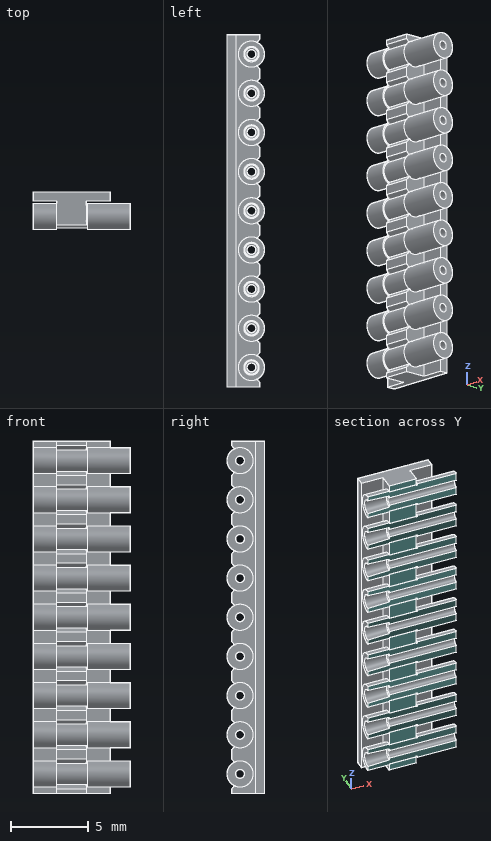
import cadquery as cq
import math

pin_count = 9
pitch = 2.54
row_height = pin_count * pitch

pin_length = 6.3
pin_radius = 0.85
pin_axis_y = -pin_radius
waist_radius = 0.75
waist_start = 1.52
waist_length = 2.0
bore_radius = 0.28
socket_mouth_radius = 0.5
socket_floor_radius = 0.43
socket_depth = 1.52
floor_cone_angle = 150

overall_depth = 2.44
plate_width = 5.0
plate_thickness = 0.6
rib_start = waist_start
rib_width = 1.93
rib_depth = 2.14
mouth_half_width = 0.965
throat_half_width = 0.69

back_y = overall_depth - 2 * pin_radius
rib_front_y = back_y - rib_depth
throat_y = pin_axis_y - math.sqrt(waist_radius**2 - throat_half_width**2)

pin_heights = [(index - (pin_count - 1) / 2) * pitch for index in range(pin_count)]


def rod(start, length, radius, height):
    """Cylinder along +X on the pin axis at the given height."""
    return cq.Workplane("YZ", origin=(start, pin_axis_y, height)).circle(radius).extrude(length)


def make_pin_hole(height):
    """Tapered socket that narrows through a shallow conical floor into the through bore."""
    cone_depth = (socket_floor_radius - bore_radius) / math.tan(math.radians(floor_cone_angle / 2))
    return (
        cq.Workplane("XY", origin=(0, pin_axis_y, height))
        .moveTo(0, 0)
        .lineTo(0, socket_mouth_radius)
        .lineTo(socket_depth, socket_floor_radius)
        .lineTo(socket_depth + cone_depth, bore_radius)
        .lineTo(pin_length, bore_radius)
        .lineTo(pin_length, 0)
        .close()
        .revolve(360, (0, 0, 0), (1, 0, 0))
    )


def make_pin(height):
    pin = rod(0, pin_length, pin_radius, height)
    waist_cut = rod(waist_start, waist_length, pin_radius, height).cut(
        rod(waist_start, waist_length, waist_radius, height)
    )
    return pin.cut(waist_cut).cut(make_pin_hole(height))


def make_mouth(height):
    """Flared slot that opens each waist seat to the front of the rib."""
    return (
        cq.Workplane("YZ", origin=(rib_start, 0, height))
        .moveTo(rib_front_y, -mouth_half_width)
        .lineTo(rib_front_y, mouth_half_width)
        .lineTo(throat_y, throat_half_width)
        .lineTo(throat_y, -throat_half_width)
        .close()
        .extrude(rib_width)
    )


def make_carrier():
    plate = cq.Workplane("XY").box(plate_width, plate_thickness, row_height, centered=(False, False, True))
    plate = plate.translate((0, back_y - plate_thickness, 0))
    rib = cq.Workplane("XY").box(rib_width, rib_depth, row_height, centered=(False, False, True))
    carrier = plate.union(rib.translate((rib_start, rib_front_y, 0)))
    for height in pin_heights:
        seat = rod(rib_start, rib_width, waist_radius, height)
        carrier = carrier.cut(seat).cut(make_mouth(height))
    return carrier


carrier = make_carrier()
pins = [make_pin(height) for height in pin_heights]
result = cq.Compound.makeCompound([carrier.val()] + [pin.val() for pin in pins])